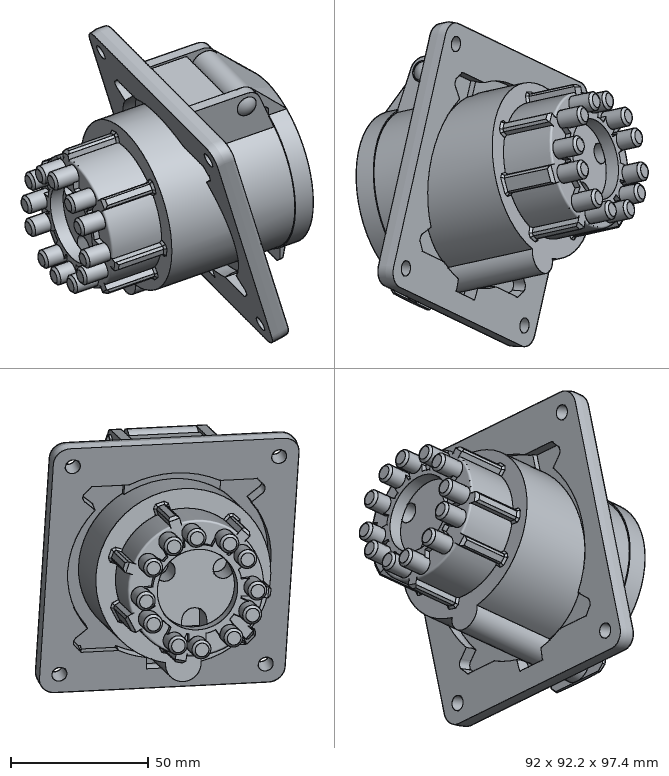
import cadquery as cq
import math


barrel_radius = 32.7
barrel_length = 52.0
boss_radius = 6.6

flange_tilt = 15.0
flange_width = 92.0
flange_height = 100.2
flange_rear_thickness = 3.1
flange_front_thickness = 4.4
flange_rear_setback = 0.15
flange_corner_radius = 6.0
flange_front_fillet = 1.4
flange_centre_y = 23.0
flange_centre_z = -1.0
mount_hole_diameter = 5.6
mount_hole_spacing_x = 77.0
mount_hole_spacing_up = 85.0

pocket_square_depth = 2.9
pocket_depth = 5.4
pocket_radius = 37.9
pocket_half_side = 33.9
pocket_chamfer_start = 30.9
pocket_chamfer_end = 30.8
pocket_lip_bulge = 0.2
pocket_lip_x = 32.75
pocket_lip_end = 27.5
pocket_neck_x = 29.3
pocket_neck_up = 24.5
tab_half_width_base = 6.5
tab_half_width_end = 5.9
tab_reach = 42.0

carrier_radius = 25.3
carrier_length = 21.0
carrier_fillet = 0.8
hub_radius = 16.8
hub_height = 2.2
tooth_width = 6.4
bore_radius = 15.0
bore_depth = 5.4
small_hole_radius = 3.8
small_hole_angles = [30, 150]
key_hole_radius = 4.7
key_hole_reach = 17.3
floor_hole_circle_radius = 12.6
floor_hole_depth = 11.7

pin_radius = 3.5
pin_length = 9.7
pin_chamfer = 1.0
pin_circle_radius = 20.9
pin_angles = [0, 35, 60, 95, 120, 150, 185, 210, 245, 270, 305, 335]

narrow_rib_angles = [-42.5, -6, 47, 107.5, 160.5, 257.5]
narrow_rib_width = 4.1
narrow_rib_radius = 28.3
wide_rib_angle = 207
wide_rib_width = 6.8
wide_rib_radius = 28.1
rib_root_radius = 23.4
rib_chamfer = 0.9
rib_end_chamfer = 1.2
rib_foot = 0.9
rib_foot_corner = 1.3

hinge_y = 40.4
hinge_z = 40.8
hinge_radius = 5.8
hinge_clearance = 0.8
hinge_half_width = 13.9
lug_thickness = 4.0
slab_drop = 1.0
hinge_pin_radius = 2.8
head_radius = 4.0
head_dome_radius = 3.5
head_collar = 0.9
head_dome_height = 1.4
spring_gap = 1.95
spring_recess_reach = 4.9
spring_slot_reach = 9.0
spring_slot_bottom = 36.9
spring_slot_height = 1.9

lid_radius = 33.1
lid_rim_length = 7.6
lid_crown_radius = 25.0
lid_crown_height = 1.7
badge_width = 28.85
badge_height = 17.5
badge_thickness = 0.2
arm_slope_start = 33.1
arm_under_z = 34.7
arm_under_chamfer = 1.9
arm_cone_angle = 43.0
latch_half_width = 13.45
latch_thickness = 2.4
latch_corner = 2.2

lid_rear_y = barrel_length
lid_rim_y = lid_rear_y + lid_rim_length
hinge_top_z = hinge_z + hinge_radius
lug_outer_x = hinge_half_width + lug_thickness
boss_bottom_z = -barrel_radius - boss_radius
through = 194.9


def cylinder_y(radius, y_start, y_end, x=0.0, z=0.0):
    """Cylinder along Y between two Y positions."""
    face = cq.Workplane("XZ", origin=(0, y_start, 0)).center(x, z)
    return face.circle(radius).extrude(y_start - y_end)


def cylinder_x(radius, x_start, x_end):
    """Cylinder along X on the hinge axis."""
    face = cq.Workplane("YZ", origin=(x_start, hinge_y, hinge_z))
    return face.circle(radius).extrude(x_end - x_start)


def box_between(low, high):
    """Box from its lowest corner to its highest corner."""
    size = [b - a for a, b in zip(low, high)]
    return cq.Workplane("XY").box(*size, centered=False).translate(low)


def turn_about_axis(body, angle):
    """Turn a body about the main axis, from +X towards +Z."""
    return body.rotate((0, 0, 0), (0, -1, 0), angle)


def tangent_point(y, z):
    """Point where the line from (y, z) touches the top of the hinge circle."""
    dy = y - hinge_y
    dz = z - hinge_z
    angle = math.atan2(dz, dy) + math.acos(hinge_radius / math.hypot(dy, dz))
    return hinge_y + hinge_radius * math.cos(angle), hinge_z + hinge_radius * math.sin(angle)



tilt = math.radians(flange_tilt)
flange_normal = cq.Vector(0, math.cos(tilt), math.sin(tilt))
flange_centre = cq.Vector(0, flange_centre_y, flange_centre_z)


def flange_workplane(depth):
    """Plane parallel to the flange, at a depth forward of its rear face; local y runs up the flange."""
    origin = flange_centre + flange_normal * depth
    return cq.Workplane(cq.Plane(origin=origin, xDir=(-1, 0, 0), normal=flange_normal))


def flange_sketch(depth, side_setback=0.0, top_setback=0.0):
    """Rounded rectangle of the flange at a depth, with its sides and its top edge set back."""
    return (
        cq.Sketch()
        .rect(flange_width - 2 * side_setback, flange_height - 2 * side_setback - top_setback)
        .vertices()
        .fillet(flange_corner_radius)
        .moved(cq.Location(cq.Vector(0, -top_setback / 2, depth)))
    )


def make_flange_plate():
    middle = flange_sketch(flange_rear_thickness)
    rear = flange_workplane(0).placeSketch(flange_sketch(0, flange_rear_setback), middle).loft()
    level_setback = flange_front_thickness * math.tan(tilt)
    face = flange_sketch(flange_rear_thickness + flange_front_thickness, 0, level_setback)
    front = flange_workplane(0).placeSketch(middle, face).loft()
    front = front.faces(cq.selectors.DirectionMinMaxSelector(flange_normal, True)).edges()
    front = front.fillet(flange_front_fillet)
    holes = (
        flange_workplane(0)
        .rect(mount_hole_spacing_x, mount_hole_spacing_up, forConstruction=True)
        .vertices()
        .circle(mount_hole_diameter / 2)
        .extrude(flange_rear_thickness + flange_front_thickness)
    )
    return rear.union(front).cut(holes)


def make_pocket_centre():
    """Round middle of the pocket with its lower tab: square walls at first, level walls beyond."""
    tab = [
        (-tab_half_width_base, 0),
        (-tab_half_width_base, -pocket_half_side),
        (-tab_half_width_end, -tab_reach),
        (tab_half_width_end, -tab_reach),
        (tab_half_width_base, -pocket_half_side),
        (tab_half_width_base, 0),
    ]
    centre = flange_workplane(0).circle(pocket_radius).extrude(pocket_square_depth)
    centre = centre.union(flange_workplane(0).polyline(tab).close().extrude(pocket_square_depth))
    inner_face = centre.faces(cq.selectors.DirectionMinMaxSelector(flange_normal, True)).val()
    level_length = (pocket_depth - pocket_square_depth) / math.cos(tilt)
    return centre.union(cq.Workplane(cq.Solid.extrudeLinear(inner_face, cq.Vector(0, level_length, 0))))


def make_pocket_lobe(sign_x, sign_up):
    """One corner lobe of the pocket."""
    side = pocket_half_side
    return (
        flange_workplane(0)
        .moveTo(0, 0)
        .lineTo(0, sign_up * side)
        .lineTo(sign_x * pocket_chamfer_start, sign_up * side)
        .lineTo(sign_x * (side - pocket_lip_bulge), sign_up * pocket_chamfer_end)
        .threePointArc(
            (sign_x * side, sign_up * (pocket_chamfer_end + pocket_lip_end) / 2),
            (sign_x * pocket_lip_x, sign_up * pocket_lip_end),
        )
        .lineTo(sign_x * pocket_neck_x, sign_up * pocket_neck_up)
        .close()
        .extrude(pocket_depth)
    )


def make_lobe_wedge(sign_x):
    """Wedge that makes the lower wall of a bottom lobe level; its outer end follows the corner chamfer."""
    side = pocket_half_side
    inner_x = math.sqrt(pocket_radius**2 - side**2)
    chamfer_run = side - pocket_lip_bulge - pocket_chamfer_start
    lean = pocket_depth * math.tan(tilt)
    floor_end_x = pocket_chamfer_start - lean * chamfer_run / (side - pocket_chamfer_end)
    inner_x *= sign_x
    outer_x = sign_x * pocket_chamfer_start
    floor_x = sign_x * floor_end_x
    top = -pocket_chamfer_end
    return (
        flange_workplane(0)
        .polyline([(inner_x, top), (outer_x, top), (outer_x, -side), (inner_x, -side)])
        .close()
        .workplane(offset=pocket_depth)
        .polyline([(inner_x, top), (outer_x, top), (floor_x, -side - lean), (inner_x, -side - lean)])
        .close()
        .loft(ruled=True)
    )


def make_flange_pocket():
    pocket = make_pocket_centre()
    for sign_x in (-1, 1):
        for sign_up in (-1, 1):
            pocket = pocket.union(make_pocket_lobe(sign_x, sign_up))
        pocket = pocket.union(make_lobe_wedge(sign_x))
    return pocket



def make_rib(width, radius, angle):
    """Rib along the carrier with chamfered outer edges and a flared foot on the barrel face."""
    length = radius - rib_root_radius
    rib = box_between((rib_root_radius, -carrier_length, -width / 2), (radius, 0, width / 2))
    rib = rib.edges("|Y and >X").chamfer(rib_chamfer)
    rib = rib.faces(">X").edges("<Y").chamfer(rib_end_chamfer)
    foot = (
        cq.Workplane("XZ", origin=(rib_root_radius + length / 2, 0, 0))
        .rect(length + 2 * rib_foot, width + 2 * rib_foot)
        .extrude(2 * rib_foot)
        .edges("|Y and >X")
        .chamfer(rib_foot_corner)
        .faces("<Y")
        .chamfer(rib_foot)
        .translate((0, rib_foot, 0))
    )
    return turn_about_axis(rib.union(foot), angle)


def make_hub():
    """Raised ring with one tooth reaching out under each contact pin."""
    hub = cylinder_y(hub_radius, 0, -carrier_length - hub_height)
    for angle in pin_angles:
        tooth = box_between(
            (0, -carrier_length - hub_height, -tooth_width / 2),
            (pin_circle_radius, -carrier_length, tooth_width / 2),
        )
        hub = hub.union(turn_about_axis(tooth, angle))
    return hub


def make_contact_pin(angle):
    pin = cylinder_y(pin_radius, -carrier_length / 2, -carrier_length - pin_length)
    pin = pin.faces("<Y").chamfer(pin_chamfer).translate((pin_circle_radius, 0, 0))
    return turn_about_axis(pin, angle)


def make_carrier_bore():
    """Central bore, with two round holes and one key hole sunk into its floor."""
    mouth_y = -carrier_length - hub_height
    floor_y = mouth_y + bore_depth
    end_y = floor_y + floor_hole_depth
    bore = cylinder_y(bore_radius, mouth_y, floor_y)
    holes = cylinder_y(key_hole_radius, floor_y, end_y, 0, -floor_hole_circle_radius)
    holes = holes.union(box_between(
        (-key_hole_radius, floor_y, -key_hole_reach),
        (key_hole_radius, end_y, -floor_hole_circle_radius),
    ))
    for angle in small_hole_angles:
        x = floor_hole_circle_radius * math.cos(math.radians(angle))
        z = floor_hole_circle_radius * math.sin(math.radians(angle))
        holes = holes.union(cylinder_y(small_hole_radius, floor_y, end_y, x, z))
    return bore.union(holes)


def make_carrier():
    carrier = cylinder_y(carrier_radius, 0, -carrier_length)
    carrier = carrier.faces("<Y").edges().fillet(carrier_fillet)
    for angle in narrow_rib_angles:
        carrier = carrier.union(make_rib(narrow_rib_width, narrow_rib_radius, angle))
    carrier = carrier.union(make_rib(wide_rib_width, wide_rib_radius, wide_rib_angle))
    carrier = carrier.union(make_hub())
    for angle in pin_angles:
        carrier = carrier.union(make_contact_pin(angle))
    return carrier.cut(make_carrier_bore())



def arc_middle(touch):
    """Middle of the hinge-circle arc between a touch point and the top of the circle."""
    angle = (math.atan2(touch[1] - hinge_z, touch[0] - hinge_y) + math.pi / 2) / 2
    return hinge_y + hinge_radius * math.cos(angle), hinge_z + hinge_radius * math.sin(angle)


def make_hinge_lugs():
    """Two lugs beside the hinge and the slab between them, running back to the flange."""
    front_y = lid_rear_y
    front_z = math.sqrt(barrel_radius**2 - lug_outer_x**2)
    touch = tangent_point(front_y, front_z)
    profile = (
        cq.Workplane("YZ", origin=(-lug_outer_x, 0, 0))
        .moveTo(0, 0)
        .lineTo(front_y, 0)
        .lineTo(front_y, front_z)
        .lineTo(*touch)
        .threePointArc(arc_middle(touch), (hinge_y, hinge_top_z))
        .lineTo(0, hinge_top_z)
        .close()
    )
    lugs = profile.extrude(2 * lug_outer_x)
    lugs = lugs.cut(box_between(
        (-hinge_half_width, 0, 0),
        (hinge_half_width, through, through),
    ))
    slab = box_between(
        (-hinge_half_width, 0, 0),
        (hinge_half_width, hinge_y - hinge_radius - hinge_clearance, hinge_top_z - slab_drop),
    )
    behind_flange = flange_workplane(flange_rear_thickness).rect(through, through).extrude(-through)
    return lugs.union(slab).cut(behind_flange)


def make_dome(radius, height):
    """Spherical cap that rises from X = 0 towards -X on the hinge axis."""
    middle_angle = math.atan(height / radius)
    sphere_radius = radius / math.sin(2 * middle_angle)
    rise = height - sphere_radius * (1 - math.cos(middle_angle))
    return (
        cq.Workplane("XY")
        .lineTo(0, radius)
        .threePointArc((-rise, sphere_radius * math.sin(middle_angle)), (-height, 0))
        .close()
        .revolve(360, (0, 0, 0), (1, 0, 0))
        .translate((0, hinge_y, hinge_z))
    )


def make_hinge_pin():
    """Pin through both lugs, with a collared dome head at -X and a plain dome head at +X."""
    collar_x = -lug_outer_x - head_collar
    pin = cylinder_x(hinge_pin_radius, -lug_outer_x, lug_outer_x)
    pin = pin.union(cylinder_x(head_radius, -lug_outer_x, collar_x))
    pin = pin.union(make_dome(head_dome_radius, head_dome_height).translate((collar_x, 0, 0)))
    right_head = make_dome(head_radius, head_dome_height).mirror("YZ").translate((lug_outer_x, 0, 0))
    return pin.union(right_head)



def make_housing():
    housing = make_flange_plate().cut(make_flange_pocket())
    housing = housing.union(cylinder_y(barrel_radius, 0, barrel_length))
    housing = housing.union(cylinder_y(boss_radius, 0, barrel_length, 0, -barrel_radius))
    housing = housing.union(make_hinge_lugs())
    housing = housing.union(make_hinge_pin())
    return housing.union(make_carrier())



def make_face_cone():
    """Solid under the shallow conical front face of the lid, wide enough to trim the latch."""
    crown_y = lid_rim_y + lid_crown_height
    slope = lid_crown_height / (lid_radius - lid_crown_radius)
    edge_radius = 2 * lid_radius
    edge_y = crown_y - slope * (edge_radius - lid_crown_radius)
    return (
        cq.Workplane("XY")
        .moveTo(0, 0)
        .lineTo(edge_radius, 0)
        .lineTo(edge_radius, edge_y)
        .lineTo(lid_crown_radius, crown_y)
        .lineTo(0, crown_y)
        .close()
        .revolve(360, (0, 0, 0), (0, 1, 0))
    )


def make_lid_disc():
    """Rim, latch boss and latch plate, all under the conical front face."""
    front_y = lid_rim_y + lid_crown_height
    disc = cylinder_y(lid_radius, lid_rear_y, front_y)
    disc = disc.union(cylinder_y(boss_radius, lid_rear_y, front_y, 0, -barrel_radius))
    latch = box_between(
        (-latch_half_width, lid_rim_y - latch_thickness, boss_bottom_z),
        (latch_half_width, front_y, 0),
    )
    disc = disc.union(latch.edges("|Y and <Z").chamfer(latch_corner))
    disc = disc.intersect(make_face_cone())
    badge = (
        cq.Workplane("XZ", origin=(0, front_y, 0))
        .rect(badge_width, badge_height)
        .extrude(-badge_thickness)
    )
    return disc.union(badge)


def make_lid_arm():
    """Arm from the rim to the hinge; its sloping top is trimmed by a cone about the main axis."""
    touch = tangent_point(lid_rim_y, arm_slope_start)
    arm = (
        cq.Workplane("YZ", origin=(-hinge_half_width, 0, 0))
        .moveTo(lid_rim_y, 0)
        .lineTo(lid_rim_y, arm_slope_start)
        .lineTo(*touch)
        .lineTo(hinge_y, hinge_z)
        .lineTo(hinge_y, arm_under_z)
        .lineTo(lid_rear_y - arm_under_chamfer, arm_under_z)
        .lineTo(lid_rear_y, arm_under_z - arm_under_chamfer)
        .lineTo(lid_rear_y, 0)
        .close()
        .extrude(2 * hinge_half_width)
    )
    cone_reach = lid_radius + lid_rim_y * math.tan(math.radians(arm_cone_angle))
    cone = (
        cq.Workplane("XY")
        .moveTo(0, 0)
        .lineTo(cone_reach, 0)
        .lineTo(lid_radius, lid_rim_y)
        .lineTo(0, lid_rim_y)
        .close()
        .revolve(360, (0, 0, 0), (0, 1, 0))
    )
    return arm.intersect(cone)


def make_lid():
    lid = make_lid_disc().union(make_lid_arm())
    lid = lid.union(cylinder_x(hinge_radius, -hinge_half_width, hinge_half_width))
    gap_end_x = -hinge_half_width + spring_gap
    lid = lid.cut(cylinder_x(hinge_pin_radius, -hinge_half_width, hinge_half_width))
    lid = lid.cut(box_between(
        (-hinge_half_width, hinge_y - hinge_radius, hinge_z - hinge_radius),
        (gap_end_x, hinge_y + spring_recess_reach, hinge_top_z),
    ))
    return lid.cut(box_between(
        (-hinge_half_width, hinge_y, spring_slot_bottom),
        (gap_end_x, hinge_y + spring_slot_reach, spring_slot_bottom + spring_slot_height),
    ))


housing = make_housing()
lid = make_lid()
result = cq.Compound.makeCompound([housing.val(), lid.val()])